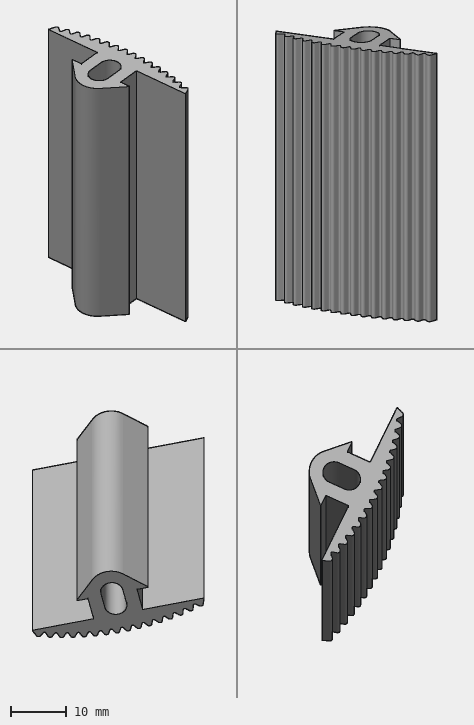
import cadquery as cq
import math

length = 50.0

flange_half_width = 15.75
flange_height = 4.0
edge_height = 0.1

rib_count = 16
crown_radius = 48.0
rib_pitch = 2.0
rib_depth = 1.05
crest_radius = 0.45
valley_radius = 0.25
crown_center_y = flange_height - math.sqrt(crown_radius**2 - (rib_pitch / 2) ** 2)

stem_half_width = 4.5
barb_half_width = 6.5
barb_y = -4.5
nose_radius = 4.0
nose_bottom_y = -9.5
nose_center_y = nose_bottom_y + nose_radius

slot_width = 4.0
slot_length = 7.0
slot_center_y = -slot_length / 2


def crown_point(radius, angle):
    """Point at an angle from +Y around the crown center, positive toward -X."""
    return -radius * math.sin(angle), crown_center_y + radius * math.cos(angle)


def crown_angle(steps):
    """Crown angle a number of rib pitches from the center plane, positive toward -X."""
    return math.asin(steps * rib_pitch / crown_radius)


def flank_points(steps, side):
    """Ends of the flank tangent to a crest arc and the next valley arc.

    side is 1 for the flank toward -X and -1 for the flank toward +X.
    """
    crest_x, crest_y = crown_point(crown_radius - crest_radius, crown_angle(steps))
    valley_angle = crown_angle(steps + side / 2)
    valley_x, valley_y = crown_point(crown_radius - rib_depth + valley_radius, valley_angle)
    dx = valley_x - crest_x
    dy = valley_y - crest_y
    tangent_turn = math.acos((crest_radius + valley_radius) / math.hypot(dx, dy))
    normal_angle = math.atan2(dy, dx) - side * tangent_turn
    nx = math.cos(normal_angle)
    ny = math.sin(normal_angle)
    upper = (crest_x + crest_radius * nx, crest_y + crest_radius * ny)
    lower = (valley_x - valley_radius * nx, valley_y - valley_radius * ny)
    return upper, lower


def add_ribs(outline):
    """Continue the outline across the crowned face from -X to +X."""
    for index in range(rib_count):
        steps = (rib_count - 1) / 2 - index
        left_upper, left_lower = flank_points(steps, 1)
        right_upper, right_lower = flank_points(steps, -1)
        if index > 0:
            valley = crown_point(crown_radius - rib_depth, crown_angle(steps + 0.5))
            outline = outline.threePointArc(valley, left_lower)
        outline = outline.lineTo(*left_upper)
        outline = outline.threePointArc(crown_point(crown_radius, crown_angle(steps)), right_upper)
        if index < rib_count - 1:
            outline = outline.lineTo(*right_lower)
    return outline


def flange():
    outline = cq.Workplane("XY").moveTo(-flange_half_width, 0).lineTo(-flange_half_width, edge_height)
    outline = add_ribs(outline)
    outline = outline.lineTo(flange_half_width, edge_height).lineTo(flange_half_width, 0)
    return outline.close().extrude(length)


def stem():
    tangent_x = nose_radius * math.sqrt(0.5)
    tangent_y = nose_center_y - tangent_x
    barb_tip_y = tangent_y + barb_half_width - tangent_x
    return (
        cq.Workplane("XY")
        .moveTo(-stem_half_width, edge_height)
        .lineTo(-stem_half_width, barb_y)
        .lineTo(-barb_half_width, barb_y)
        .lineTo(-barb_half_width, barb_tip_y)
        .lineTo(-tangent_x, tangent_y)
        .threePointArc((0, nose_bottom_y), (tangent_x, tangent_y))
        .lineTo(barb_half_width, barb_tip_y)
        .lineTo(barb_half_width, barb_y)
        .lineTo(stem_half_width, barb_y)
        .lineTo(stem_half_width, edge_height)
        .close()
        .extrude(length)
    )


def slot():
    return (
        cq.Workplane("XY")
        .center(0, slot_center_y)
        .slot2D(slot_length, slot_width, 90)
        .extrude(length)
    )


result = flange().union(stem()).cut(slot())